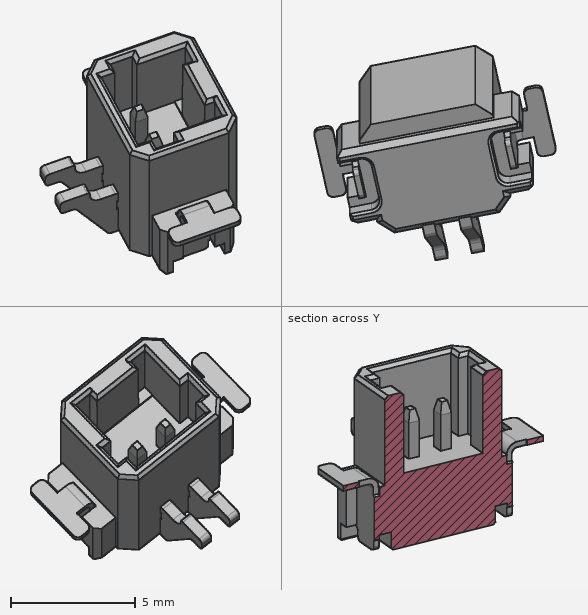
import cadquery as cq


BODY_X = 5.5
BODY_Y = 4.7
BODY_Z = 6.9
CORNER = 0.6
RIM_CHAMFER = 0.15
BASE_CHAMFER = 0.25
BACK_RELIEF_Z = 0.5
FRONT_Y = -BODY_Y / 2

WING_X = 3.75
WING_Y = 3.25
WING_Z = 2.95
WING_CORNER = 0.25
WING_END_CHAMFER = 0.1
THROAT_Y = 1.4
POCKET_Y = 2.25
POCKET_Z = 0.8
POCKET_BACK_X = 2.45
POCKET_RADIUS = 0.4

CAVITY_X = 3.7
CAVITY_FRONT = -1.85
CAVITY_BACK = 1.85
CAVITY_BEVEL = 0.15
FLOOR_Z = 3.3
CORNER_FLOOR_Z = 3.35
SIDE_SLOT_X = 4.6
SIDE_SLOT_FRONT = -1.26
SIDE_SLOT_BACK = -0.285
SIDE_SLOT_BACK_BEVEL = 0.185
RIB_X = 2.2
RIB_Y = 1.41
RIB_FOOT_Y = 1.37

PIN_PITCH = 1.5
PIN_SIZE = 0.5
PIN_DEPTH = 0.55
PIN_Y = -0.665
PIN_TOP = 5.4
PIN_TIP_INSET = 0.115
PIN_TIP_HEIGHT = 0.5
LEAD_REACH = 2.55
LEAD_TOP = 3.4
LEAD_SHOULDER_Z = 2.7
LEAD_FOOT_BOTTOM = 2.65
LEAD_BOTTOM = 0.14
LEAD_FOOT_BACK = 1.24
LEAD_INNER_RADIUS = 0.48
LEAD_HEEL_REACH = 0.4
LEAD_KNEE_REACH = 1.88
LEAD_ROOT = 0.16
LEAD_TIP_RADIUS = 0.2
LEAD_TOP_RADIUS = 0.12
LEAD_HEEL_RADIUS = 0.18
LEAD_KNEE_RADIUS = 0.3
LEAD_ROOT_RADIUS = 0.3
NOTCH_DEPTH = 0.055
NOTCH_BOTTOM = 1.63
NOTCH_TOP = 2.13

STRAP_THICKNESS = 0.25
STRAP_BACK_X = 3.0
STRAP_TOP = LEAD_TOP
STRAP_BOTTOM = 0.14
STRAP_BEND_RADIUS = 0.5
NECK_Y = 1.2
PLATE_Y = 1.6
SHOULDER_Z = 2.62
SHOULDER_DROP = 0.25
TONGUE_Y = 1.26
TONGUE_Z = 0.6
TONGUE_RADIUS = 0.2
PAD_TIP_X = 4.7
PAD_X = 0.77
PAD_Y = 3.0
PAD_RADIUS = 0.25


def box(x0, x1, y0, y1, z0, z1):
    """Box between the given limits."""
    return cq.Workplane("XY").box(x1 - x0, y1 - y0, z1 - z0, centered=False).translate((x0, y0, z0))


def make_body():
    body = cq.Workplane("XY").rect(BODY_X, BODY_Y).extrude(BODY_Z).edges("|Z").chamfer(CORNER)
    return body.faces(">Z").chamfer(RIM_CHAMFER).faces("<Z").chamfer(BASE_CHAMFER)


def make_back_relief():
    """Space under the rear of the housing, leaving a chamfered rear edge on the base."""
    base_back = WING_Y / 2
    rear = BODY_Y
    profile = (
        cq.Workplane("YZ")
        .moveTo(base_back - BASE_CHAMFER, 0)
        .lineTo(base_back, BASE_CHAMFER)
        .lineTo(base_back, BACK_RELIEF_Z)
        .lineTo(rear, BACK_RELIEF_Z)
        .lineTo(rear, 0)
        .close()
    )
    return profile.extrude(BODY_X, both=True)


def make_wing():
    """Plain wing on the +X side, starting from the middle of the housing."""
    wing = box(0, WING_X, -WING_Y / 2, WING_Y / 2, 0, WING_Z)
    wing = wing.edges("|Z and >X").chamfer(WING_CORNER)
    cross_section = cq.Workplane("YZ").rect(WING_Y, 2 * WING_Z).extrude(WING_X)
    cross_section = cross_section.translate((0, 0, WING_Z)).edges("|X and <Z").chamfer(BASE_CHAMFER)
    return wing.intersect(cross_section)


def make_strap_slot():
    """Strap slot on the +X side, with the wider pocket at its foot."""
    throat = box(STRAP_BACK_X, WING_X, -THROAT_Y / 2, THROAT_Y / 2, 0, WING_Z)
    pocket = box(POCKET_BACK_X, WING_X, -POCKET_Y / 2, POCKET_Y / 2, 0, POCKET_Z)
    pocket = pocket.edges("|Z and <X").fillet(POCKET_RADIUS)
    return throat.union(pocket)


def chamfer_wing_ends(housing):
    """Small chamfer along the bottom edge of both wing ends and around the pockets."""
    half_y = WING_Y / 2 - BASE_CHAMFER - WING_END_CHAMFER
    margin = WING_END_CHAMFER
    for inner_x, outer_x in (
        (POCKET_BACK_X - margin, WING_X + margin),
        (-WING_X - margin, -POCKET_BACK_X + margin),
    ):
        end_edges = cq.selectors.BoxSelector((inner_x, -half_y, -margin), (outer_x, half_y, margin))
        housing = housing.faces("<Z").edges(end_edges).chamfer(WING_END_CHAMFER)
    return housing


def make_strap():
    """Hold-down strap on the +X side: upright plate, bent neck and solder pad."""
    outer_x = STRAP_BACK_X + STRAP_THICKNESS
    bend_x = STRAP_BACK_X + STRAP_BEND_RADIUS
    bend_z = STRAP_TOP - STRAP_BEND_RADIUS
    inner_radius = STRAP_BEND_RADIUS - STRAP_THICKNESS
    pad_inner_x = PAD_TIP_X - PAD_X

    neck = (
        cq.Workplane("XZ")
        .moveTo(STRAP_BACK_X, SHOULDER_Z)
        .lineTo(STRAP_BACK_X, bend_z)
        .radiusArc((bend_x, STRAP_TOP), STRAP_BEND_RADIUS)
        .lineTo(PAD_TIP_X - PAD_X / 2, STRAP_TOP)
        .lineTo(PAD_TIP_X - PAD_X / 2, STRAP_TOP - STRAP_THICKNESS)
        .lineTo(bend_x, STRAP_TOP - STRAP_THICKNESS)
        .radiusArc((outer_x, bend_z), -inner_radius)
        .lineTo(outer_x, SHOULDER_Z)
        .close()
        .extrude(NECK_Y / 2, both=True)
    )
    half_plate = [
        (NECK_Y / 2, SHOULDER_Z),
        (PLATE_Y / 2, SHOULDER_Z - SHOULDER_DROP),
        (PLATE_Y / 2, POCKET_Z),
        (TONGUE_Y / 2, TONGUE_Z),
        (TONGUE_Y / 2, STRAP_BOTTOM),
    ]
    outline = half_plate + [(-y, z) for y, z in reversed(half_plate)]
    plate = cq.Workplane("YZ").polyline(outline).close().extrude(STRAP_THICKNESS)
    plate = plate.faces("<Z").edges("|X").fillet(TONGUE_RADIUS)
    plate = plate.translate((STRAP_BACK_X, 0, 0))
    pad = box(pad_inner_x, PAD_TIP_X, -PAD_Y / 2, PAD_Y / 2, STRAP_TOP - STRAP_THICKNESS, STRAP_TOP)
    pad = pad.edges("|Z").fillet(PAD_RADIUS)
    return plate.union(neck).union(pad)


def cavity_outline(bevel, slot_back_bevel):
    """Cavity outline without the rib, grown outwards: a rectangle with a slot in each side."""
    main_x = CAVITY_X / 2 + bevel
    slot_x = SIDE_SLOT_X / 2 + bevel
    slot_front = SIDE_SLOT_FRONT - bevel
    slot_back = SIDE_SLOT_BACK + slot_back_bevel
    half_outline = [
        (main_x, CAVITY_FRONT - bevel),
        (main_x, slot_front),
        (slot_x, slot_front),
        (slot_x, slot_back),
        (main_x, slot_back),
        (main_x, CAVITY_BACK + bevel),
    ]
    return half_outline + [(-x, y) for x, y in reversed(half_outline)]


def make_key_rib():
    """Key rib on the rear cavity wall, its front face drafted towards the floor."""
    profile = (
        cq.Workplane("YZ")
        .moveTo(RIB_FOOT_Y, FLOOR_Z)
        .lineTo(RIB_Y, BODY_Z)
        .lineTo(CAVITY_BACK, BODY_Z)
        .lineTo(CAVITY_BACK, FLOOR_Z)
        .close()
    )
    rib = profile.extrude(RIB_X / 2, both=True)
    return rib.faces(">Z").edges("<Y or <X or >X").chamfer(CAVITY_BEVEL)


def make_cavity():
    outline = cavity_outline(0, 0)
    cavity = cq.Workplane("XY").workplane(offset=FLOOR_Z).polyline(outline).close().extrude(BODY_Z - FLOOR_Z)
    raised_floor = box(-CAVITY_X / 2, CAVITY_X / 2, RIB_FOOT_Y, CAVITY_BACK, FLOOR_Z, CORNER_FLOOR_Z)
    lead_in = (
        cq.Workplane("XY")
        .workplane(offset=BODY_Z - CAVITY_BEVEL)
        .polyline(outline)
        .close()
        .workplane(offset=CAVITY_BEVEL)
        .polyline(cavity_outline(CAVITY_BEVEL, SIDE_SLOT_BACK_BEVEL))
        .close()
        .loft(ruled=True)
    )
    rib_root_x = RIB_X / 2 - CAVITY_BEVEL
    rib_root = box(-rib_root_x, rib_root_x, CAVITY_BACK, BODY_Y / 2, FLOOR_Z, BODY_Z)
    return cavity.union(lead_in).cut(raised_floor).cut(make_key_rib()).cut(rib_root)


def make_contact(x):
    """Contact at the given X: square pin in the cavity and solder lead at the front."""
    pin = box(
        x - PIN_SIZE / 2, x + PIN_SIZE / 2,
        PIN_Y - PIN_DEPTH / 2, PIN_Y + PIN_DEPTH / 2,
        FLOOR_Z - PIN_SIZE, PIN_TOP,
    )
    pin = pin.edges(">Z").chamfer(PIN_TIP_HEIGHT, PIN_TIP_INSET)

    tip_y = FRONT_Y - LEAD_REACH
    foot_y = FRONT_Y - LEAD_FOOT_BACK
    root_y = FRONT_Y + LEAD_ROOT
    lead = (
        cq.Workplane("YZ")
        .moveTo(root_y, LEAD_BOTTOM)
        .lineTo(root_y, LEAD_SHOULDER_Z)
        .lineTo(foot_y, LEAD_SHOULDER_Z)
        .lineTo(foot_y, LEAD_TOP)
        .lineTo(tip_y, LEAD_TOP)
        .lineTo(tip_y, LEAD_FOOT_BOTTOM)
        .lineTo(FRONT_Y - LEAD_KNEE_REACH, LEAD_FOOT_BOTTOM)
        .lineTo(FRONT_Y - LEAD_HEEL_REACH, LEAD_BOTTOM)
        .close()
        .extrude(PIN_SIZE / 2, both=True)
    )

    def fillet_at(solid, y, z, radius):
        return solid.edges(cq.selectors.NearestToPointSelector((0, y, z))).fillet(radius)

    lead = fillet_at(lead, root_y, LEAD_SHOULDER_Z, LEAD_ROOT_RADIUS)
    lead = fillet_at(lead, foot_y, LEAD_SHOULDER_Z, LEAD_INNER_RADIUS)
    lead = fillet_at(lead, foot_y, LEAD_TOP, LEAD_TOP_RADIUS)
    lead = fillet_at(lead, tip_y, LEAD_TOP, LEAD_TIP_RADIUS)
    lead = fillet_at(lead, tip_y, LEAD_FOOT_BOTTOM, LEAD_TIP_RADIUS)
    lead = fillet_at(lead, FRONT_Y - LEAD_KNEE_REACH, LEAD_FOOT_BOTTOM, LEAD_KNEE_RADIUS)
    lead = fillet_at(lead, FRONT_Y - LEAD_HEEL_REACH, LEAD_BOTTOM, LEAD_HEEL_RADIUS)
    notch = box(-PIN_SIZE, PIN_SIZE, FRONT_Y - NOTCH_DEPTH, FRONT_Y, NOTCH_BOTTOM, NOTCH_TOP)
    return pin.union(lead.cut(notch).translate((x, 0, 0)))


wing = make_wing()
strap_slot = make_strap_slot()
strap = make_strap()

result = make_body().cut(make_back_relief())
result = result.union(wing).union(wing.mirror("YZ"))
result = result.cut(strap_slot).cut(strap_slot.mirror("YZ"))
result = chamfer_wing_ends(result)
result = result.cut(make_cavity())
result = result.union(strap).union(strap.mirror("YZ"))
for contact_x in (-PIN_PITCH / 2, PIN_PITCH / 2):
    result = result.union(make_contact(contact_x))